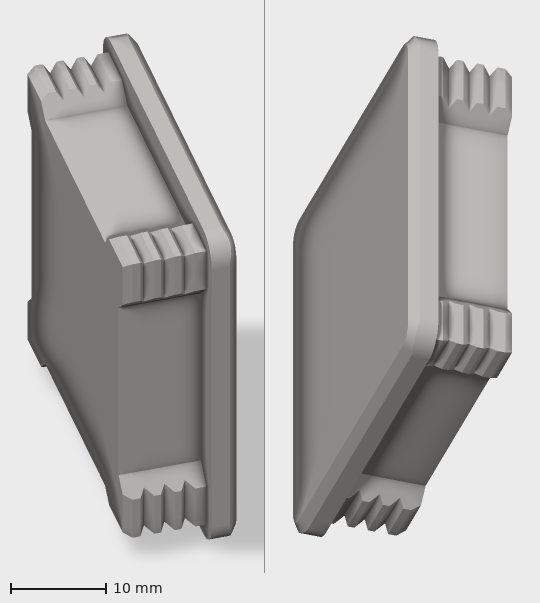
import cadquery as cq


cap_side = 40.0
cap_thickness = 3.0
cap_chamfer = 1.0
corner_radius = 3.0

insert_side = 36.0
insert_length = 9.0

groove_count = 3
first_groove_start = 1.2
groove_pitch = 2.25
groove_depth = 0.75
groove_lead = 0.9
groove_width = 1.5
tip_taper_length = 0.9
tip_taper_inset = 0.5

recess_depth = 2.0
recess_floor_width = 22.0


def make_cap():
    """Square plate with rounded corners and a 45 degree chamfer around its outer face.

    The corner edges and the chamfer mitres are rounded alike, so the cap is the
    common part of a rounded square prism and a rounded 45 degree pyramid frustum.
    """
    prism = (
        cq.Workplane("XY")
        .box(cap_side, cap_thickness, cap_side, centered=(True, False, True))
        .edges("|Y")
        .fillet(corner_radius)
    )
    outer_face_side = cap_side - 2 * cap_chamfer
    frustum_base_side = outer_face_side + 2 * cap_thickness
    frustum = (
        cq.Workplane("XZ")
        .rect(frustum_base_side, frustum_base_side)
        .workplane(offset=-cap_thickness)
        .rect(outer_face_side, outer_face_side)
        .loft(ruled=True)
    )
    mitre_edges = frustum.edges("not(#Y)")
    return prism.intersect(mitre_edges.fillet(corner_radius))


def make_rib_profile():
    """Half outline of the ribs from cap to tip, as (half width, Y) points."""
    half = insert_side / 2
    points = [(half, 0)]
    for i in range(groove_count):
        start = first_groove_start + i * groove_pitch
        points.append((half, -start))
        points.append((half - groove_depth, -(start + groove_lead)))
        points.append((half, -(start + groove_width)))
    points.append((half, tip_taper_length - insert_length))
    points.append((half - tip_taper_inset, -insert_length))
    return points


def make_ribbed_block():
    """Square block whose ribs run around all four sides and meet in mitres."""
    right_side = make_rib_profile()
    left_side = [(-x, y) for x, y in reversed(right_side)]
    ribs_in_x = (
        cq.Workplane("XY")
        .polyline(right_side + left_side)
        .close()
        .extrude(insert_side / 2, both=True)
    )
    ribs_in_z = ribs_in_x.rotate((0, 0, 0), (0, 1, 0), 90)
    return ribs_in_x.intersect(ribs_in_z)


def make_recess():
    """Cutter for the recess in the +Z side of the insert."""
    half_floor = recess_floor_width / 2
    half_mouth = half_floor + recess_depth
    mouth = insert_side / 2
    floor = mouth - recess_depth
    return (
        cq.Workplane("XZ")
        .polyline([(-half_floor, floor), (half_floor, floor), (half_mouth, mouth), (-half_mouth, mouth)])
        .close()
        .extrude(insert_length)
    )


def make_insert():
    """Ribbed block with a recess in each of its four sides."""
    insert = make_ribbed_block()
    recess = make_recess()
    for i in range(4):
        insert = insert.cut(recess.rotate((0, 0, 0), (0, 1, 0), 90 * i))
    return insert


result = make_cap().union(make_insert())